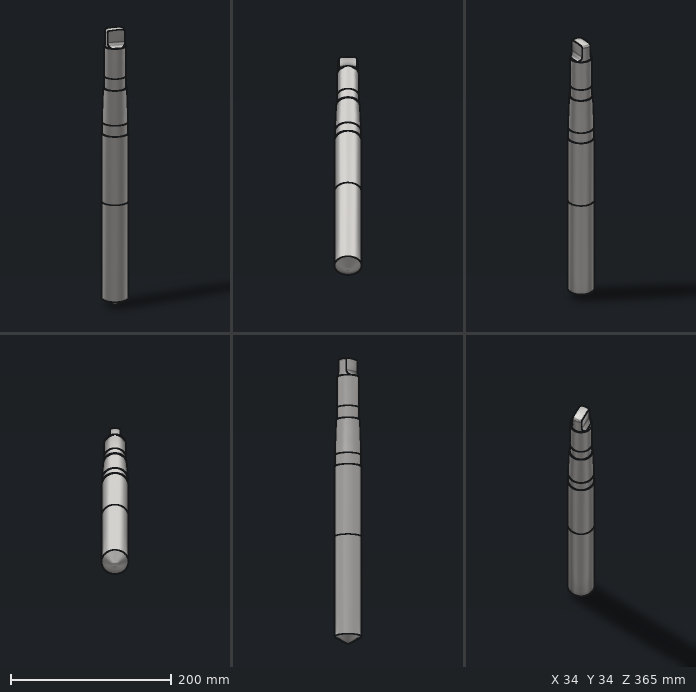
import cadquery as cq
import math

overall_length = 365.0
body_diameter = 34.0
point_angle = 120.0

cutter_top = 137.3
neck_bottom = 227.0
taper_bottom = 241.7
taper_top = 287.0
recess_top = 302.5
shank_top = 341.8

neck_diameter = 32.5
taper_large_diameter = 33.2
taper_small_diameter = 30.0
recess_diameter = 27.7
pilot_bottom_diameter = 28.0
pilot_top_diameter = 27.7

tang_diameter = 25.5
tang_thickness = 12.8
tang_turn = -11.0
tang_end_drop = 1.5
tang_end_fillet = 2.2
flat_length = 16.0
runout_radius = 8.0

body_radius = body_diameter / 2
point_height = body_radius / math.tan(math.radians(point_angle / 2))


def revolve_outline(points):
    """Turn an outline of (radius, height) points about the tool axis."""
    outline = cq.Workplane("XZ").polyline(points).close()
    return outline.revolve(360, (0, 0, 0), (0, 1, 0))


def make_cutter():
    """Cylindrical cutting end with a conical point."""
    return revolve_outline([
        (0, 0),
        (body_radius, point_height),
        (body_radius, cutter_top),
        (0, cutter_top),
    ])


def make_tang_cut():
    """Material removed beside one flat, ending in a concave runout above the shank."""
    flat_x = tang_thickness / 2
    outer_x = body_radius
    flat_bottom = overall_length - flat_length
    runout_depth = flat_bottom - shank_top
    arc_center_x = flat_x + runout_radius
    end_x = arc_center_x - math.sqrt(runout_radius**2 - runout_depth**2)
    middle_angle = math.asin(runout_depth / runout_radius) / 2
    arc_middle = (
        arc_center_x - runout_radius * math.cos(middle_angle),
        flat_bottom - runout_radius * math.sin(middle_angle),
    )
    return (
        cq.Workplane("XZ")
        .moveTo(flat_x, overall_length)
        .lineTo(flat_x, flat_bottom)
        .threePointArc(arc_middle, (end_x, shank_top))
        .lineTo(outer_x, shank_top)
        .lineTo(outer_x, overall_length)
        .close()
        .extrude(body_radius, both=True)
    )


def make_shank():
    """Plain body, neck, tapered shank with a recess, and the flattened, slightly conical driving tang."""
    tang_radius = tang_diameter / 2
    shank = revolve_outline([
        (0, cutter_top),
        (body_radius, cutter_top),
        (body_radius, neck_bottom),
        (neck_diameter / 2, neck_bottom),
        (neck_diameter / 2, taper_bottom),
        (taper_large_diameter / 2, taper_bottom),
        (taper_small_diameter / 2, taper_top),
        (recess_diameter / 2, taper_top),
        (recess_diameter / 2, recess_top),
        (pilot_bottom_diameter / 2, recess_top),
        (pilot_top_diameter / 2, shank_top),
        (tang_radius, shank_top),
        (tang_radius, overall_length - tang_end_drop),
        (0, overall_length),
    ])
    shank = shank.edges("%CIRCLE").edges(">Z").fillet(tang_end_fillet)
    tang_cut = make_tang_cut()
    for side_angle in (0, 180):
        side_cut = tang_cut.rotate((0, 0, 0), (0, 0, 1), tang_turn + side_angle)
        shank = shank.cut(side_cut)
    return shank


cutter = make_cutter()
shank = make_shank()

result = cq.Compound.makeCompound([cutter.val(), shank.val()])